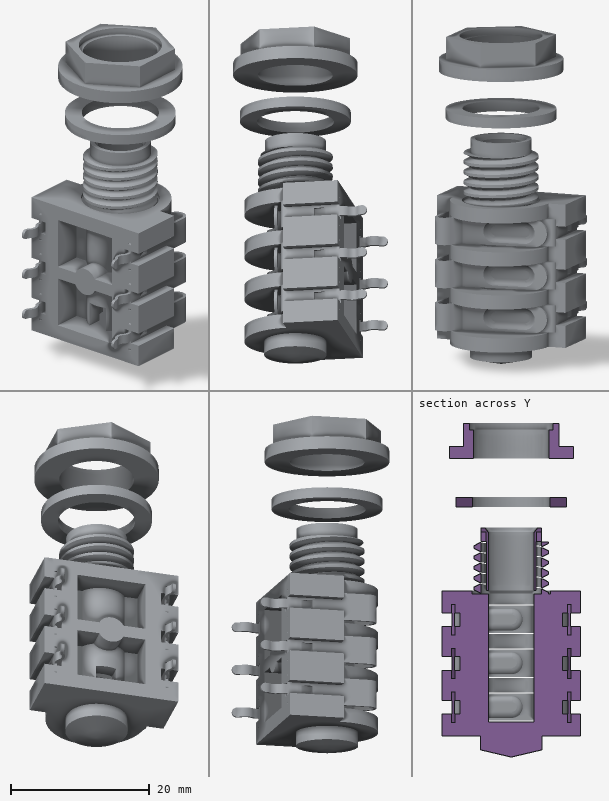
import cadquery as cq
import math

BLOCK_WIDTH = 20.0
BLOCK_FRONT = -8.05
PLATE_RADIUS = 7.35
PLATE_THICKNESS = 2.05
CONTACT_PITCH = 6.3
CONTACT_ROWS = 3
BLOCK_HEIGHT = CONTACT_ROWS * CONTACT_PITCH + PLATE_THICKNESS
ROW_HEIGHTS = [PLATE_THICKNESS / 2 + CONTACT_PITCH * (row + 0.5) for row in range(CONTACT_ROWS)]

PLUG_DIAMETER = 9.0
PLUG_LENGTH = 1.97
PLUG_POINT = 1.05

WINDOW_WIDTH = 10.1
WINDOW_DEPTH = 4.3
WINDOW_MARGIN = 2.15
BAR_HEIGHT = 1.85
BOSS_RADIUS = 2.0
BULGE_RADIUS = 3.85
BULGE_HALF_WIDTH = 3.2
VIEWING_SLOT_WIDTH = 3.05
VIEWING_SLOT_HEIGHT = 3.6

THREAD_DIAMETER = 10.8
ROOT_DIAMETER = 9.0
THREAD_PITCH = 1.5
THREAD_LENGTH = 7.05
THREAD_PHASE = 0.67
RIDGE_CREST = 0.45
RIDGE_BASE = 1.35
RIDGE_EMBED = 0.2
LEAD_IN_TURNS = 2
RECESS_DIAMETER = 11.3
RECESS_DEPTH = 0.5
NECK_DIAMETER = 8.8
NECK_LENGTH = 1.45
JACK_BORE = 6.45

SLEEVE_DIAMETER = 7.2
SLEEVE_BORE = 6.5
SLEEVE_CAP = 0.6
MOUTH_FLARE = 0.55
MOUTH_DEPTH = 0.67

SHEET = 0.45
WALL_X = 8.35
WALL_HEIGHT = 4.3
WALL_CORNER = 0.3
SPRING_HEIGHT = 3.95
GROOVE_HEIGHT = 1.95
GROOVE_DEPTH = 2.6
TAIL_WIDTH = 1.35
TAIL_LENGTH = 3.95
TAIL_TIP = 0.6
TAIL_BEND_LENGTH = 0.67
TAIL_CREST_LENGTH = 1.6
TAIL_OFFSET = 0.6
TAIL_CORNER = 0.65
BARB_BOTTOM = -6.0
BARB_TOP = -4.35
BARB_WIDTH = 1.2
BARB_REACH = 0.67

CURL_RADIUS = 1.2
CURL_HEIGHT = 4.05
CURL_ANGLE = 143
BLADE_HEIGHT = 2.4
BLADE_SLOPE = 0.12
BLADE_END = -7.8
BEND_SETBACK = 0.15
DIMPLE_START = -5.95
DIMPLE_END = 1.65
DIMPLE_WIDTH = 3.2
DIMPLE_FLAT = 1.35
DIMPLE_DEPTH = 0.67
DIMPLE_BULGE = 0.2

SHELF_HEIGHT = 0.35
SHELF_REACH = 2.3
SHELF_RISE = 0.4
SHELF_SETBACK = 0.3

WASHER_DIAMETER = 16.0
WASHER_BORE = 11.1
WASHER_THICKNESS = 1.5
WASHER_BOTTOM = 33.0
NUT_FLANGE = 17.95
NUT_FLANGE_THICKNESS = 1.85
NUT_HEIGHT = 5.15
NUT_ACROSS_FLATS = 13.85
NUT_BORE = 10.8
NUT_COUNTERBORE = 12.0
NUT_COUNTERBORE_DEPTH = 0.95
OVERALL_HEIGHT = 48.15
NUT_BOTTOM = OVERALL_HEIGHT - PLUG_LENGTH - PLUG_POINT - NUT_HEIGHT

THREAD_TOP = BLOCK_HEIGHT + THREAD_LENGTH
NECK_TOP = THREAD_TOP + NECK_LENGTH


def disc(diameter, bottom, height):
    return cq.Workplane("XY").workplane(offset=bottom).circle(diameter / 2).extrude(height)


def block(x_range, y_range, z_range):
    size = [high - low for low, high in (x_range, y_range, z_range)]
    corner = (x_range[0], y_range[0], z_range[0])
    return cq.Workplane("XY").box(*size, centered=False).translate(corner)


def housing_body():
    half = BLOCK_WIDTH / 2
    body = block((-half, half), (BLOCK_FRONT, 0), (0, BLOCK_HEIGHT))
    for level in range(CONTACT_ROWS + 1):
        body = body.union(disc(2 * PLATE_RADIUS, level * CONTACT_PITCH, PLATE_THICKNESS))
    return body


def plug():
    radius = PLUG_DIAMETER / 2
    profile = [(0, 0), (radius, 0), (radius, -PLUG_LENGTH), (0, -PLUG_LENGTH - PLUG_POINT)]
    return cq.Workplane("XZ").polyline(profile).close().revolve(360, (0, 0, 0), (0, 1, 0))


def windows():
    """Two front windows around a bar and boss, with the barrel wall bulging into them."""
    back = BLOCK_FRONT + WINDOW_DEPTH
    middle = BLOCK_HEIGHT / 2
    half = WINDOW_WIDTH / 2
    depth = (BLOCK_FRONT, back)
    opening = block((-half, half), depth, (WINDOW_MARGIN, BLOCK_HEIGHT - WINDOW_MARGIN))
    bar = block((-half, half), depth, (middle - BAR_HEIGHT / 2, middle + BAR_HEIGHT / 2))
    boss = (
        cq.Workplane("XZ", origin=(0, back, middle)).circle(BOSS_RADIUS).extrude(WINDOW_DEPTH)
    )
    bulge_axis = back + math.sqrt(BULGE_RADIUS**2 - BULGE_HALF_WIDTH**2)
    bulge = disc(2 * BULGE_RADIUS, 0, BLOCK_HEIGHT).translate((0, bulge_axis, 0))
    return opening.cut(bar).cut(boss).cut(bulge)


def viewing_slot():
    half = VIEWING_SLOT_WIDTH / 2
    back = BLOCK_FRONT + WINDOW_DEPTH
    top = WINDOW_MARGIN + VIEWING_SLOT_HEIGHT
    return block((-half, half), (back - BULGE_RADIUS / 2, 0), (WINDOW_MARGIN, top))


def terminal_seats():
    """Side grooves and the thin slots that hold the terminal walls."""
    half = BLOCK_WIDTH / 2
    seats = cq.Workplane("XY")
    for z in ROW_HEIGHTS:
        for side in (-1, 1):
            groove_x = sorted((side * half, side * (half - GROOVE_DEPTH)))
            slot_x = (side * WALL_X - SHEET / 2, side * WALL_X + SHEET / 2)
            groove_z = (z - GROOVE_HEIGHT / 2, z + GROOVE_HEIGHT / 2)
            slot_z = (z - WALL_HEIGHT / 2, z + WALL_HEIGHT / 2)
            seats = seats.add(block(groove_x, (BLOCK_FRONT, 0), groove_z))
            seats = seats.add(block(slot_x, (BLOCK_FRONT, 0), slot_z))
    return seats.combine()


def thread():
    """Right-hand thread: a helical ridge on the root cylinder, cut flat at both ends."""
    bottom = BLOCK_HEIGHT - RECESS_DEPTH
    root = ROOT_DIAMETER / 2
    crest = THREAD_DIAMETER / 2
    turns = math.ceil(THREAD_LENGTH / THREAD_PITCH) + LEAD_IN_TURNS
    start = BLOCK_HEIGHT + THREAD_PHASE - LEAD_IN_TURNS * THREAD_PITCH
    helix = cq.Wire.makeHelix(THREAD_PITCH, turns * THREAD_PITCH, root)
    ridge = (
        cq.Workplane("XZ")
        .moveTo(root - RIDGE_EMBED, -RIDGE_BASE / 2)
        .lineTo(root, -RIDGE_BASE / 2)
        .lineTo(crest, -RIDGE_CREST / 2)
        .lineTo(crest, RIDGE_CREST / 2)
        .lineTo(root, RIDGE_BASE / 2)
        .lineTo(root - RIDGE_EMBED, RIDGE_BASE / 2)
        .close()
        .sweep(cq.Workplane(helix), isFrenet=True)
        .rotate((0, 0, 0), (0, 0, 1), -90)
        .translate((0, 0, start))
    )
    envelope = disc(2 * THREAD_DIAMETER, bottom, THREAD_TOP - bottom)
    return disc(ROOT_DIAMETER, bottom, THREAD_TOP - bottom).union(ridge.intersect(envelope))


def make_housing():
    body = housing_body().union(plug())
    body = body.cut(disc(RECESS_DIAMETER, BLOCK_HEIGHT - RECESS_DEPTH, RECESS_DEPTH))
    body = body.union(thread()).union(disc(NECK_DIAMETER, THREAD_TOP, NECK_LENGTH))
    body = body.cut(disc(JACK_BORE, PLATE_THICKNESS, NECK_TOP))
    body = body.cut(disc(SLEEVE_DIAMETER, BLOCK_HEIGHT, NECK_TOP))
    return body.cut(windows()).cut(viewing_slot()).cut(terminal_seats())


def make_sleeve():
    """Tube under a wide cap, with a flared mouth."""
    bore = SLEEVE_BORE / 2
    tube = SLEEVE_DIAMETER / 2
    cap = NECK_DIAMETER / 2
    cap_top = NECK_TOP + SLEEVE_CAP
    profile = [
        (bore, BLOCK_HEIGHT),
        (tube, BLOCK_HEIGHT),
        (tube, NECK_TOP),
        (cap, NECK_TOP),
        (cap, cap_top),
        (bore + MOUTH_FLARE, cap_top),
        (bore, cap_top - MOUTH_DEPTH),
    ]
    return cq.Workplane("XZ").polyline(profile).close().revolve(360, (0, 0, 0), (0, 1, 0))


def strip(path, start_y, width):
    """Sheet strip of the given Z width, along a path that leaves the wall plane in the +Y direction."""
    section = cq.Plane(origin=(WALL_X, start_y, 0), xDir=(0, 0, 1), normal=(0, 1, 0))
    return cq.Workplane(section).rect(width, SHEET).sweep(path)


def terminal_tail():
    """Solder tail with one smooth inward wave and a rounded tip."""
    tip = BLOCK_FRONT - TAIL_LENGTH
    wave_start = tip + TAIL_TIP
    crest_start = wave_start + TAIL_BEND_LENGTH
    crest_end = crest_start + TAIL_CREST_LENGTH
    wave_end = crest_end + TAIL_BEND_LENGTH
    bend_share = TAIL_BEND_LENGTH / (TAIL_BEND_LENGTH + TAIL_CREST_LENGTH / 2)
    flank_x = WALL_X - TAIL_OFFSET * bend_share
    path = (
        cq.Workplane("XY")
        .moveTo(WALL_X, tip)
        .lineTo(WALL_X, wave_start)
        .tangentArcPoint((flank_x, crest_start), relative=False)
        .tangentArcPoint((flank_x, crest_end), relative=False)
        .tangentArcPoint((WALL_X, wave_end), relative=False)
        .lineTo(WALL_X, BLOCK_FRONT)
    )
    tail = strip(path, tip, TAIL_WIDTH)
    return tail.faces("<Y").edges("|X").fillet(TAIL_CORNER)


def terminal_wall():
    """Flat wall held in the housing slot, with a barb lanced inward from it."""
    inner = WALL_X - SHEET / 2
    outer = WALL_X + SHEET / 2
    half = WALL_HEIGHT / 2
    wall = block((inner, outer), (BLOCK_FRONT, 0), (-half, half))
    wall = wall.faces("<Y").edges("|X").fillet(WALL_CORNER)
    barb_z = (-BARB_WIDTH / 2, BARB_WIDTH / 2)
    barb = (
        cq.Workplane("XY", origin=(0, 0, barb_z[0]))
        .moveTo(outer, BARB_BOTTOM)
        .lineTo(inner, BARB_BOTTOM)
        .lineTo(inner - BARB_REACH, BARB_TOP)
        .lineTo(outer - BARB_REACH, BARB_TOP)
        .close()
        .extrude(BARB_WIDTH)
    )
    return wall.cut(block((inner, outer), (BARB_BOTTOM, BARB_TOP), barb_z)).union(barb)


def blade_point(x):
    return (x, BLADE_HEIGHT + BLADE_SLOPE * x)


def long_spring():
    """Spring that rises from the wall, curls over and crosses the bore as a sloping blade."""
    angle = math.radians(CURL_ANGLE)
    curl_x = WALL_X - CURL_RADIUS
    curl_end = (
        curl_x + CURL_RADIUS * math.cos(angle),
        CURL_HEIGHT + CURL_RADIUS * math.sin(angle),
    )
    drop = (-math.sin(angle), math.cos(angle))
    drop_length = (blade_point(curl_end[0])[1] - curl_end[1]) / (drop[1] - BLADE_SLOPE * drop[0])
    bend = (curl_end[0] + drop[0] * drop_length, curl_end[1] + drop[1] * drop_length)
    before_bend = (bend[0] - drop[0] * BEND_SETBACK, bend[1] - drop[1] * BEND_SETBACK)
    after_bend = blade_point(bend[0] - BEND_SETBACK / math.hypot(1, BLADE_SLOPE))
    path = (
        cq.Workplane("XY")
        .moveTo(WALL_X, 0)
        .lineTo(WALL_X, CURL_HEIGHT)
        .tangentArcPoint(curl_end, relative=False)
        .lineTo(*before_bend)
        .tangentArcPoint(after_bend, relative=False)
        .lineTo(*blade_point(BLADE_END))
    )
    spring = strip(path, 0, SPRING_HEIGHT)
    return add_dimple(round_blade_end(spring))


def round_blade_end(spring):
    radius = SPRING_HEIGHT / 2
    length = WALL_X + SHEET - BLADE_END + radius
    outline = (
        cq.Workplane("XZ")
        .center(BLADE_END + length / 2, 0)
        .slot2D(length, SPRING_HEIGHT)
        .extrude(-CURL_HEIGHT - CURL_RADIUS - SHEET)
    )
    return spring.intersect(outline)


def dimple_shape(length):
    """Stadium-shaped mound with convex sides, rising along +Z and centred on its length in X."""
    base = DIMPLE_WIDTH / 2
    flat = DIMPLE_FLAT / 2
    slant = math.hypot(base - flat, DIMPLE_DEPTH)
    side_middle = (
        (base + flat) / 2 + DIMPLE_BULGE * DIMPLE_DEPTH / slant,
        DIMPLE_DEPTH / 2 + DIMPLE_BULGE * (base - flat) / slant,
    )
    half_profile = [(base, 0), side_middle, (flat, DIMPLE_DEPTH)]
    straight = length / 2 - base
    end = (
        cq.Workplane("XZ")
        .lineTo(*half_profile[0])
        .threePointArc(*half_profile[1:])
        .lineTo(0, DIMPLE_DEPTH)
        .close()
        .revolve(360, (0, 0, 0), (0, 1, 0))
    )
    middle = (
        cq.Workplane("YZ", origin=(-straight, 0, 0))
        .moveTo(-base, 0)
        .lineTo(*half_profile[0])
        .threePointArc(*half_profile[1:])
        .lineTo(-flat, DIMPLE_DEPTH)
        .threePointArc((-side_middle[0], side_middle[1]), (-base, 0))
        .close()
        .extrude(2 * straight)
    )
    return middle.union(end.translate((straight, 0, 0))).union(end.translate((-straight, 0, 0)))


def add_dimple(spring):
    """Dimple pressed through the blade toward the bore axis, hollow from above."""
    x, y = blade_point((DIMPLE_START + DIMPLE_END) / 2)
    length = (DIMPLE_END - DIMPLE_START) * math.hypot(1, BLADE_SLOPE)
    plane = cq.Plane(origin=(x, y, 0), xDir=(1, BLADE_SLOPE, 0), normal=(BLADE_SLOPE, -1, 0))
    mound = dimple_shape(length)
    bump = mound.translate((0, 0, SHEET / 2)).val().moved(plane.location)
    hollow = mound.translate((0, 0, -SHEET / 2)).val().moved(plane.location)
    return spring.union(cq.Workplane(bump)).cut(cq.Workplane(hollow))


def switch_shelf():
    """Short shelf bent inward over the top of the block."""
    run = math.hypot(SHELF_REACH, SHELF_RISE)
    after_bend = (
        WALL_X - SHELF_SETBACK * SHELF_REACH / run,
        SHELF_HEIGHT + SHELF_SETBACK * SHELF_RISE / run,
    )
    path = (
        cq.Workplane("XY")
        .moveTo(WALL_X, 0)
        .lineTo(WALL_X, SHELF_HEIGHT - SHELF_SETBACK)
        .tangentArcPoint(after_bend, relative=False)
        .lineTo(WALL_X - SHELF_REACH, SHELF_HEIGHT + SHELF_RISE)
    )
    return strip(path, 0, SPRING_HEIGHT)


def make_spring_terminal(z):
    terminal = terminal_tail().union(terminal_wall()).union(long_spring())
    return terminal.translate((0, 0, z))


def make_switch_terminal(z):
    terminal = terminal_tail().union(terminal_wall()).union(switch_shelf())
    return terminal.mirror("YZ").translate((0, 0, z))


def make_washer():
    blank = disc(WASHER_DIAMETER, WASHER_BOTTOM, WASHER_THICKNESS)
    return blank.cut(disc(WASHER_BORE, WASHER_BOTTOM, WASHER_THICKNESS))


def make_nut():
    across_corners = NUT_ACROSS_FLATS / math.cos(math.pi / 6)
    hexagon = (
        cq.Workplane("XY")
        .workplane(offset=NUT_BOTTOM)
        .polygon(6, across_corners)
        .extrude(NUT_HEIGHT)
        .rotate((0, 0, 0), (0, 0, 1), 90)
    )
    blank = hexagon.union(disc(NUT_FLANGE, NUT_BOTTOM, NUT_FLANGE_THICKNESS))
    blank = blank.cut(disc(NUT_BORE, NUT_BOTTOM, NUT_HEIGHT))
    seat_bottom = NUT_BOTTOM + NUT_HEIGHT - NUT_COUNTERBORE_DEPTH
    return blank.cut(disc(NUT_COUNTERBORE, seat_bottom, NUT_COUNTERBORE_DEPTH))


housing = make_housing()
sleeve = make_sleeve()
washer = make_washer()
nut = make_nut()
spring_terminals = [make_spring_terminal(z) for z in ROW_HEIGHTS]
switch_terminals = [make_switch_terminal(z) for z in ROW_HEIGHTS]
terminals = [terminal.val() for terminal in spring_terminals + switch_terminals]

result = cq.Compound.makeCompound(
    [housing.val(), sleeve.val(), washer.val(), nut.val(), *terminals]
)